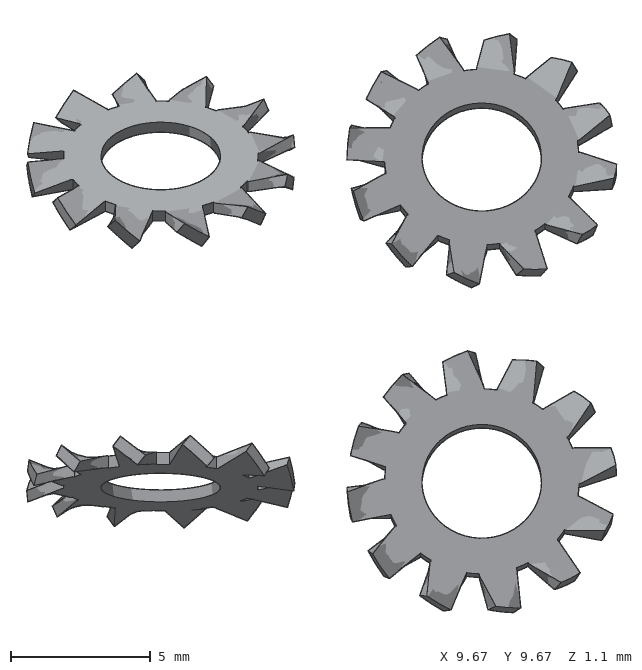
import cadquery as cq

outer_diameter = 9.67
body_diameter = 6.96
bore_diameter = 4.27
thickness = 0.44
tooth_count = 12
root_width = 1.36
root_distance = 3.49
tip_width = 1.19
twist_angle = 40.0
stem_length = 0.29

outer_radius = outer_diameter / 2
blade_length = outer_radius - root_distance


def make_disc(diameter, height):
    """Solid disc about the Z axis, centred on the mid-plane."""
    return cq.Workplane("XY", origin=(0, 0, -height / 2)).circle(diameter / 2).extrude(height)


def make_ring():
    """Flat ring that carries the teeth."""
    return make_disc(body_diameter, thickness).cut(make_disc(bore_diameter, thickness))


def make_tooth():
    """Tooth pointing to -Y: a straight stem, then a twisted blade with its tip on the outer diameter."""
    root_plane = cq.Workplane("XZ", origin=(0, -root_distance, 0))
    stem = root_plane.rect(root_width, thickness).extrude(-stem_length)
    blade = (
        root_plane.rect(root_width, thickness)
        .workplane(offset=blade_length)
        .transformed(rotate=(0, 0, -twist_angle))
        .rect(tip_width, thickness)
        .loft(ruled=True)
    )
    tip_envelope = make_disc(outer_diameter, outer_radius)
    return stem.union(blade.intersect(tip_envelope))


result = make_ring()
tooth = make_tooth()
for index in range(tooth_count):
    angle = index * 360 / tooth_count
    result = result.union(tooth.rotate((0, 0, 0), (0, 0, 1), angle))